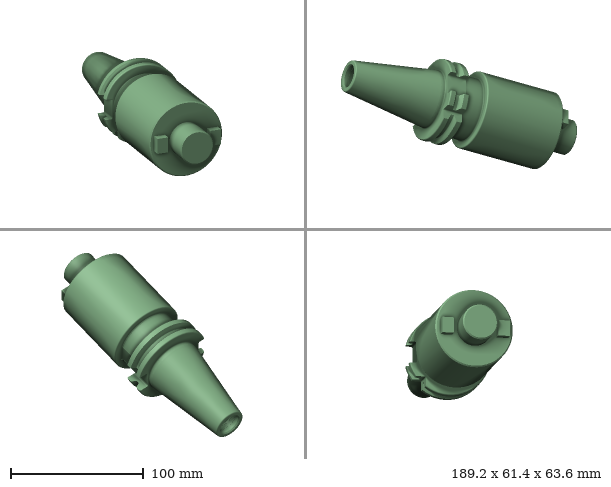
import cadquery as cq
import math


gauge_radius = 44.45 / 2
taper_length = 68.25
taper_slope = (7 / 24) / 2
shank_end_round = 1.0
taper_blend_radius = 8.0
collar_fillet = 1.0

flange_start = 3.2
flange_end = 19.1
flange_radius = 63.55 / 2
flange_round = 1.0
groove_center = 11.1
groove_mouth_width = 7.0
groove_floor_radius = 28.0
groove_half_angle = math.radians(30)
groove_floor_fillet = 0.4

neck_radius = 24.1
neck_flange_fillet = 0.6
neck_body_fillet = 1.0
body_start = 35.0
body_end = 100.0
body_radius = 30.0
body_back_round = 1.0
body_front_chamfer = 1.0
pilot_radius = 13.5
pilot_length = 21.0
pilot_chamfer = 1.0

slot_width = 16.3
slot_corner_fillet = 1.4
shallow_slot_floor = 25.0
deep_slot_floor = 22.8
notch_corner_fillet = 0.8
notch_offset = 18.4

key_width = 12.0
key_length = 6.3
key_inner = 17.3
key_outer = 26.1

bore_mouth_radius = 9.2
mouth_half_angle = math.radians(30)
counterbore_radius = 8.5
counterbore_depth = 4.5
step_bore_radius = 8.25
step_bore_depth = 7.5
thread_radius = 8.0
thread_seat_depth = 8.7
tap_drill_radius = 7.0
bore_depth = 43.0
drill_tip_half_angle = math.radians(59)

shank_end = -taper_length
pilot_end = body_end + pilot_length
shank_end_radius = gauge_radius - taper_length * taper_slope


def revolve_about_axis(profile):
    """Turn a closed (X, radius) profile around the X axis."""
    return profile.close().revolve(360, (0, 0, 0), (1, 0, 0))


def edges_at(x, radius):
    """Select the circular edge of the given radius at position x."""
    tolerance = 0.01
    low = (x - tolerance, -radius - tolerance, -radius - tolerance)
    high = (x + tolerance, radius + tolerance, radius + tolerance)
    inner = radius - tolerance
    box = cq.selectors.BoxSelector(low, high, boundingbox=True)
    smaller = cq.selectors.BoxSelector(
        (low[0], -inner, -inner), (high[0], inner, inner), boundingbox=True
    )
    return box - smaller


def make_turned_body():
    """Shank, flange, neck, body and pilot in one turning, with edge rounds and chamfers."""
    outline = (
        cq.Workplane("XY")
        .moveTo(shank_end, 0)
        .lineTo(shank_end, shank_end_radius)
        .lineTo(0, gauge_radius)
        .lineTo(flange_start, gauge_radius)
        .lineTo(flange_start, flange_radius)
        .lineTo(flange_end, flange_radius)
        .lineTo(flange_end, neck_radius)
        .lineTo(body_start, neck_radius)
        .lineTo(body_start, body_radius)
        .lineTo(body_end, body_radius)
        .lineTo(body_end, pilot_radius)
        .lineTo(pilot_end, pilot_radius)
        .lineTo(pilot_end, 0)
    )
    turned = revolve_about_axis(outline)
    rounds = [
        (shank_end, shank_end_radius, shank_end_round),
        (0, gauge_radius, taper_blend_radius),
        (flange_start, gauge_radius, collar_fillet),
        (flange_start, flange_radius, flange_round),
        (flange_end, flange_radius, flange_round),
        (flange_end, neck_radius, neck_flange_fillet),
        (body_start, neck_radius, neck_body_fillet),
        (body_start, body_radius, body_back_round),
    ]
    for x, radius, fillet in rounds:
        turned = turned.edges(edges_at(x, radius)).fillet(fillet)
    chamfers = [
        (body_end, body_radius, body_front_chamfer),
        (pilot_end, pilot_radius, pilot_chamfer),
    ]
    for x, radius, chamfer in chamfers:
        turned = turned.edges(edges_at(x, radius)).chamfer(chamfer)
    return turned


def make_grip_groove():
    """V-groove ring with a flat floor and filleted floor corners."""
    depth = flange_radius - groove_floor_radius
    mouth_half = groove_mouth_width / 2
    floor_half = mouth_half - depth * math.tan(groove_half_angle)
    ring = revolve_about_axis(
        cq.Workplane("XY")
        .moveTo(groove_center - mouth_half, flange_radius)
        .lineTo(groove_center - floor_half, groove_floor_radius)
        .lineTo(groove_center + floor_half, groove_floor_radius)
        .lineTo(groove_center + mouth_half, flange_radius)
    )
    for side in (-1, 1):
        corner = edges_at(groove_center + side * floor_half, groove_floor_radius)
        ring = ring.edges(corner).fillet(groove_floor_fillet)
    return ring


def make_drive_slot(side, floor_distance, end_x):
    """Slot cutter opening toward side * Y, running from the flange back to end_x."""
    length = end_x - flange_start
    depth = flange_radius - floor_distance
    slot = cq.Workplane("XY").box(length, depth, slot_width, centered=(False, False, True))
    slot = slot.edges("|X and <Y").fillet(slot_corner_fillet)
    slot = slot.translate((flange_start, floor_distance, 0))
    return slot if side > 0 else slot.mirror("XZ")


def make_notch():
    """Square orientation notch in the -Y, -Z quarter of the flange."""
    size = flange_radius
    corner = -notch_offset - size
    notch = cq.Workplane("XY").box(flange_end - flange_start, size, size, centered=False)
    notch = notch.edges("|X and >Y and >Z").fillet(notch_corner_fillet)
    return notch.translate((flange_start, corner, corner))


def make_key(side):
    """Drive key on the front face, on the side * Y half."""
    key = cq.Workplane("XY").box(key_length, key_outer - key_inner, key_width)
    return key.translate((body_end + key_length / 2, side * (key_inner + key_outer) / 2, 0))


def make_bore():
    """Stepped blind bore with a countersunk mouth and a drill-point bottom."""
    mouth_depth = (bore_mouth_radius - counterbore_radius) / math.tan(mouth_half_angle)
    seat_depth = thread_seat_depth + thread_radius - tap_drill_radius
    tip_depth = bore_depth + tap_drill_radius / math.tan(drill_tip_half_angle)
    return revolve_about_axis(
        cq.Workplane("XY")
        .moveTo(shank_end, 0)
        .lineTo(shank_end, bore_mouth_radius)
        .lineTo(shank_end + mouth_depth, counterbore_radius)
        .lineTo(shank_end + counterbore_depth, counterbore_radius)
        .lineTo(shank_end + counterbore_depth, step_bore_radius)
        .lineTo(shank_end + step_bore_depth, step_bore_radius)
        .lineTo(shank_end + step_bore_depth, thread_radius)
        .lineTo(shank_end + thread_seat_depth, thread_radius)
        .lineTo(shank_end + seat_depth, tap_drill_radius)
        .lineTo(shank_end + bore_depth, tap_drill_radius)
        .lineTo(shank_end + tip_depth, 0)
    )


result = make_turned_body()
result = result.cut(make_grip_groove())
result = result.cut(make_drive_slot(-1, shallow_slot_floor, flange_end))
result = result.cut(make_drive_slot(1, deep_slot_floor, body_start))
result = result.cut(make_notch())
result = result.cut(make_bore())
for key_side in (-1, 1):
    result = result.union(make_key(key_side))